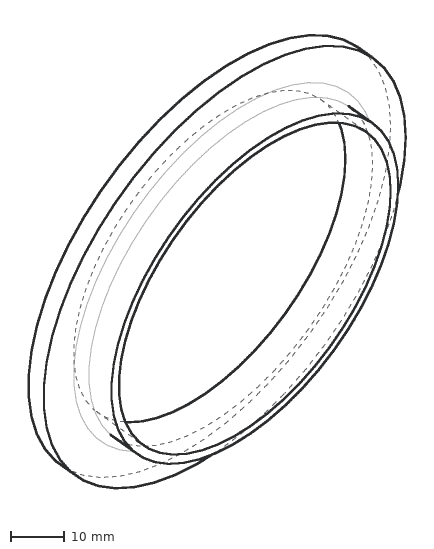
import cadquery as cq

outer_diameter = 96.0
bore_diameter = 72.0
hub_diameter = 76.0
total_length = 12.0
flange_thickness = 4.0
fillet_radius = 2.0

outer_radius = outer_diameter / 2
bore_radius = bore_diameter / 2
hub_radius = hub_diameter / 2

fillet_start = (flange_thickness, hub_radius + fillet_radius)
fillet_end = (flange_thickness + fillet_radius, hub_radius)
fillet_mid_offset = fillet_radius * (1 - 0.5**0.5)
fillet_middle = (flange_thickness + fillet_mid_offset, hub_radius + fillet_mid_offset)

half_section = (
    cq.Workplane("XY")
    .moveTo(0, bore_radius)
    .lineTo(0, outer_radius)
    .lineTo(flange_thickness, outer_radius)
    .lineTo(*fillet_start)
    .threePointArc(fillet_middle, fillet_end)
    .lineTo(total_length, hub_radius)
    .lineTo(total_length, bore_radius)
    .close()
)

result = half_section.revolve(360, (0, 0, 0), (1, 0, 0))